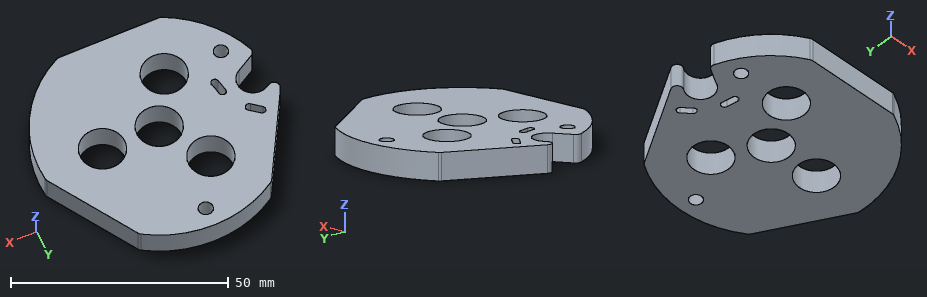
import cadquery as cq
import math

thickness = 6.8
disc_radius = 29.95
flat_distance = 26.95
corner_radius = 1.5
flat_angles = (-90, 30, 150)

large_hole_diameter = 11.1
large_hole_circle_radius = 14.45
large_hole_angles = (0, 120, 240)
small_hole_diameter = 3.5
small_hole_circle_radius = 24.95
small_hole_angles = (90, 210)

notch_angle = 210
notch_radius = 3.9
notch_end_along = 23.0

slot_length = 4.8
slot_width = 1.8
slot_distance = 8.2
slot_spread = 39
slot_tilt = 110


def polar(radius, angle, centre=(0, 0)):
    """Point at a radius and an angle in degrees about a centre."""
    a = math.radians(angle)
    return (centre[0] + radius * math.cos(a), centre[1] + radius * math.sin(a))


corner_circle_radius = disc_radius - corner_radius
corner_spread = math.degrees(math.acos((flat_distance - corner_radius) / corner_circle_radius))

notch_side_angle = notch_angle - 90
lip_angle = flat_angles[-1] + corner_spread
lip_centre = polar(corner_circle_radius, lip_angle)
lip_offset = corner_circle_radius * math.cos(math.radians(lip_angle - notch_side_angle))
notch_offset = lip_offset - corner_radius - notch_radius
notch_centre = polar(notch_offset, notch_side_angle, polar(notch_end_along, notch_angle))

lower_offset = notch_offset - notch_radius - corner_radius
lower_angle = notch_side_angle + math.degrees(math.acos(lower_offset / corner_circle_radius))
lower_centre = polar(corner_circle_radius, lower_angle)


def arc(outline, radius, start, end, centre=(0, 0)):
    """Continue the outline from the arc start angle to its end angle."""
    return outline.threePointArc(polar(radius, (start + end) / 2, centre), polar(radius, end, centre))


def add_flat(outline, angle):
    """Round off the rim, run along a flat and stop at the start of its far corner."""
    near = angle - corner_spread
    far = angle + corner_spread
    outline = arc(outline, corner_radius, near, angle, polar(corner_circle_radius, near))
    return outline.lineTo(*polar(corner_radius, angle, polar(corner_circle_radius, far)))


def make_plate():
    """Outline drawn counterclockwise from the lower notch corner."""
    outline = cq.Workplane("XY").moveTo(*polar(disc_radius, lower_angle))
    rim_start = lower_angle - 360
    for angle in flat_angles:
        outline = arc(outline, disc_radius, rim_start, angle - corner_spread)
        outline = add_flat(outline, angle)
        rim_start = angle + corner_spread
        if angle != flat_angles[-1]:
            corner_centre = polar(corner_circle_radius, rim_start)
            outline = arc(outline, corner_radius, angle, rim_start, corner_centre)

    opposite_side = notch_side_angle + 180
    outline = arc(outline, corner_radius, flat_angles[-1], opposite_side, lip_centre)
    outline = outline.lineTo(*polar(notch_radius, notch_side_angle, notch_centre))
    outline = arc(outline, notch_radius, notch_side_angle, notch_side_angle - 180, notch_centre)
    outline = outline.lineTo(*polar(corner_radius, notch_side_angle, lower_centre))
    outline = arc(outline, corner_radius, notch_side_angle, lower_angle, lower_centre)
    return outline.close().extrude(thickness)


def cut_holes(plate, diameter, centres):
    """Cut round through holes."""
    return plate.cut(cq.Workplane("XY").pushPoints(centres).circle(diameter / 2).extrude(thickness))


def cut_slots(plate):
    """Cut the mirrored pair of slots beside the notch."""
    inward_angle = notch_angle - 180
    for side in (-1, 1):
        centre = polar(slot_distance, inward_angle + side * slot_spread, notch_centre)
        slot = cq.Workplane("XY").center(*centre)
        slot = slot.slot2D(slot_length, slot_width, inward_angle + side * slot_tilt)
        plate = plate.cut(slot.extrude(thickness))
    return plate


large_holes = [(0, 0)] + [polar(large_hole_circle_radius, angle) for angle in large_hole_angles]
small_holes = [polar(small_hole_circle_radius, angle) for angle in small_hole_angles]

result = make_plate()
result = cut_holes(result, large_hole_diameter, large_holes)
result = cut_holes(result, small_hole_diameter, small_holes)
result = cut_slots(result)